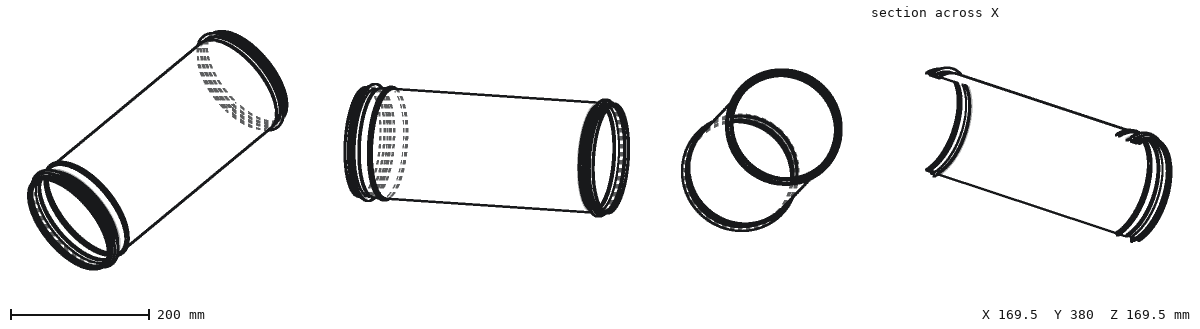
import cadquery as cq
import math

LENGTH = 380.0
HALF_LENGTH = LENGTH / 2
TUBE_RADIUS = 159.2 / 2
SHEET = 0.57

GROOVE_RADIUS = 154.3 / 2
CONE_START = 5.7
GROOVE_START = 7.2
GROOVE_END = 22.8
BEND_RADIUS = 1.5

BEAD_RADIUS = 164.5 / 2
BEAD_START = 36.0
BEAD_WIDTH = 6.0
BEAD_CREST = 1.5

SEAL_BAND_RADIUS = 155.5 / 2
SEAL_BAND_END = 21.0
SEAL_HUB_RADIUS = 158.0 / 2
SEAL_NOSE_RADIUS = 157.0 / 2
SMALL_LIP_RADIUS = 164.5 / 2
SMALL_LIP_BASE = 8.0
SMALL_LIP_START = 9.5
SMALL_LIP_END = 10.5
LARGE_LIP_RADIUS = 169.5 / 2
LARGE_LIP_START = 13.5
LARGE_LIP_END = 15.2

AXIS_START = (0, 0, 0)
AXIS_END = (0, 1, 0)
ARC_MIDDLE = math.sqrt(0.5)


def revolve(profile):
    """Turn a closed (radius, y) profile around the Y axis."""
    return profile.close().revolve(360, AXIS_START, AXIS_END)


def axial(side, distance):
    """Y position at a distance inward from the tube end on the given side."""
    return side * (HALF_LENGTH - distance)


def end_core(side, depth):
    """Solid tube end bounded by the surface lying depth below the sheet's outer face."""
    tube = TUBE_RADIUS - depth
    groove = GROOVE_RADIUS - depth
    bend_center = TUBE_RADIUS - BEND_RADIUS
    bend_reach = (BEND_RADIUS - depth) * ARC_MIDDLE
    bend_middle = bend_center + bend_reach
    second_bend = GROOVE_END + BEND_RADIUS

    def point(radius, distance):
        return (radius, axial(side, distance))

    profile = cq.Workplane("XY").moveTo(*point(0, 0)).lineTo(*point(bend_center, 0))
    if depth == 0:
        profile = profile.threePointArc(
            point(bend_middle, BEND_RADIUS - bend_reach), point(tube, BEND_RADIUS)
        )
    else:
        profile = profile.lineTo(*point(bend_center, BEND_RADIUS)).lineTo(*point(tube, BEND_RADIUS))
    profile = (
        profile.lineTo(*point(tube, CONE_START))
        .lineTo(*point(groove, GROOVE_START - depth))
        .lineTo(*point(groove, GROOVE_END + depth))
        .lineTo(*point(bend_center, GROOVE_END + depth))
        .threePointArc(point(bend_middle, second_bend - bend_reach), point(tube, second_bend))
        .lineTo(*point(0, second_bend))
    )
    return revolve(profile)


def barrel_core(depth):
    """Solid plain tube with its bead, bounded depth below the sheet's outer face."""
    tube = TUBE_RADIUS - depth
    crest = BEAD_RADIUS - depth
    barrel_end = HALF_LENGTH - GROOVE_END - BEND_RADIUS
    bead_start = axial(-1, BEAD_START)
    bead_end = axial(-1, BEAD_START + BEAD_WIDTH)
    bead_middle = (bead_start + bead_end) / 2
    outline = [
        (0, -barrel_end),
        (tube, -barrel_end),
        (tube, bead_start),
        (crest, bead_middle - BEAD_CREST / 2),
        (crest, bead_middle + BEAD_CREST / 2),
        (tube, bead_end),
        (tube, barrel_end),
        (0, barrel_end),
    ]
    return revolve(cq.Workplane("XY").polyline(outline))


def tube_core(depth):
    """Whole solid of revolution bounded depth below the sheet's outer face."""
    return barrel_core(depth).union(end_core(-1, depth)).union(end_core(1, depth))


def make_tube():
    """Thin sheet duct with lipped rims, two seal grooves and one bead."""
    return tube_core(0).cut(tube_core(SHEET))


def make_seal(side):
    """Double-lip rubber ring seated in the groove at the end on the given Y side."""
    outline = [
        (GROOVE_RADIUS, GROOVE_START),
        (SEAL_NOSE_RADIUS, GROOVE_START),
        (SEAL_HUB_RADIUS, SMALL_LIP_BASE),
        (SMALL_LIP_RADIUS, SMALL_LIP_START),
        (SMALL_LIP_RADIUS, SMALL_LIP_END),
        (SEAL_HUB_RADIUS, SMALL_LIP_END),
        (SEAL_HUB_RADIUS, LARGE_LIP_START),
        (LARGE_LIP_RADIUS, LARGE_LIP_START),
        (LARGE_LIP_RADIUS, LARGE_LIP_END),
        (SEAL_BAND_RADIUS, LARGE_LIP_END),
        (SEAL_BAND_RADIUS, SEAL_BAND_END),
        (GROOVE_RADIUS, SEAL_BAND_END),
    ]
    points = [(radius, axial(side, distance)) for radius, distance in outline]
    return revolve(cq.Workplane("XY").polyline(points))


tube = make_tube()
seals = [make_seal(side) for side in (-1, 1)]

result = cq.Compound.makeCompound([tube.val(), *[seal.val() for seal in seals]])